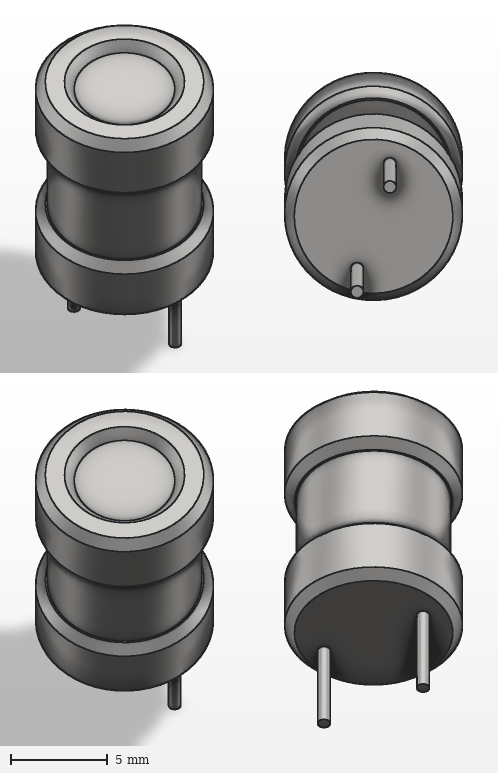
import cadquery as cq

total_height = 18.0
pin_length = 5.0
body_height = total_height - pin_length

flange_diameter = 9.2
core_diameter = 8.0
flange_height = 4.0
chamfer = 0.5

dish_floor_diameter = 5.2
dish_depth = chamfer
dish_rim_diameter = dish_floor_diameter + 2 * dish_depth

pin_diameter = 0.65
pin_spacing = 5.83


def make_flange(bottom_z):
    """Disc with both outer edges chamfered."""
    disc = cq.Workplane("XY").workplane(offset=bottom_z).circle(flange_diameter / 2).extrude(flange_height)
    return disc.edges().chamfer(chamfer)


def make_dish_cutter():
    """Truncated cone that opens upward at the top face."""
    return (
        cq.Workplane("XY")
        .workplane(offset=total_height - dish_depth)
        .circle(dish_floor_diameter / 2)
        .workplane(offset=dish_depth)
        .circle(dish_rim_diameter / 2)
        .loft(ruled=True)
    )


def make_bobbin():
    """Two chamfered flanges joined by a narrower core, dished on top."""
    core_bottom = pin_length + flange_height
    core_height = body_height - 2 * flange_height
    core = cq.Workplane("XY").workplane(offset=core_bottom).circle(core_diameter / 2).extrude(core_height)
    lower_flange = make_flange(pin_length)
    upper_flange = make_flange(total_height - flange_height)
    return lower_flange.union(core).union(upper_flange).cut(make_dish_cutter())


def make_pin(x):
    """Straight round lead that ends against the underside of the bobbin."""
    return cq.Workplane("XY").center(x, 0).circle(pin_diameter / 2).extrude(pin_length)


bobbin = make_bobbin()
pins = [make_pin(side * pin_spacing / 2) for side in (-1, 1)]

result = cq.Compound.makeCompound([bobbin.val(), *[pin.val() for pin in pins]])